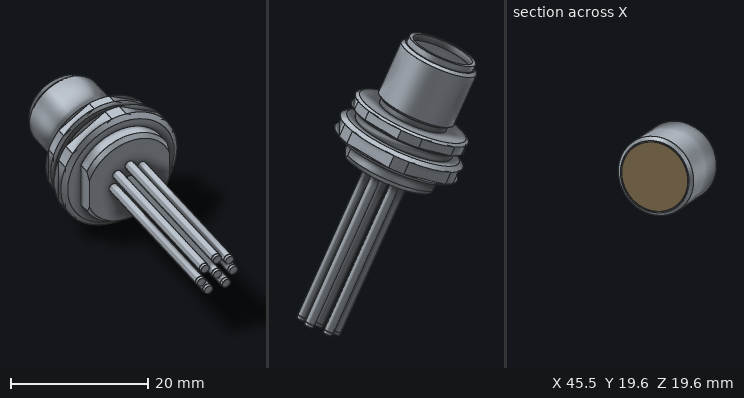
import cadquery as cq
import math

x_collar = 1.0
x_sleeve_end = 10.05
x_front_nut = 11.0
x_ring = 13.08
x_rear_nut = 14.5
x_rear_boss = 17.6
x_body_end = 20.05
x_wire_end = 45.55

core_radius = 5.3
sleeve_radius = 6.0
sleeve_chamfer_length = 0.4
sleeve_chamfer_depth = 0.55
bore_radius = 4.7
bore_depth = x_collar

front_nut_flats = 17.05
front_nut_radius = 9.0
front_nut_face_radius = 8.47
front_nut_rim_length = 0.3
rear_nut_flats = 18.05
rear_nut_radius = 9.8
rear_nut_face_radius = 8.98
rear_nut_rim_length = 0.55

ring_edge_radius = 7.6
ring_crown_radius = 7.8

boss_radius = 7.7
boss_flats = 13.5
boss_chamfer_length = 0.75
boss_chamfer_depth = 0.55

wire_radius = 0.75
wire_tip_radius = 0.7
wire_tip_length = 0.5
wire_circle_radius = 2.75
wire_ring_count = 7
wire_pitch_angle = 49.0


def cylinder(x_start, x_end, radius, y=0.0, z=0.0):
    """Round bar along X between two stations."""
    return cq.Workplane("YZ", origin=(x_start, y, z)).circle(radius).extrude(x_end - x_start)


def chamfered_disc(x_start, x_end, radius, face_radius, chamfer_length):
    """Disc along X whose chamfered ends shrink to face_radius."""
    return (
        cq.Workplane("XY")
        .moveTo(x_start, 0)
        .lineTo(x_start, face_radius)
        .lineTo(x_start + chamfer_length, radius)
        .lineTo(x_end - chamfer_length, radius)
        .lineTo(x_end, face_radius)
        .lineTo(x_end, 0)
        .close()
        .revolve(360, (0, 0, 0), (1, 0, 0))
    )


def conical_rim(x_face, x_rim, face_radius, radius):
    """Cone along X that widens from an end face to a sharp round rim."""
    return (
        cq.Workplane("XY")
        .moveTo(x_face, 0)
        .lineTo(x_face, face_radius)
        .lineTo(x_rim, radius)
        .lineTo(x_rim, 0)
        .close()
        .revolve(360, (0, 0, 0), (1, 0, 0))
    )


def hex_nut(x_start, x_end, across_flats, radius, face_radius, rim_length):
    """Hexagon with corners on +-Z, turned down to a radius, between two conical rims."""
    x_front_rim = x_start + rim_length
    x_back_rim = x_end - rim_length
    across_corners = across_flats / math.cos(math.radians(30))
    hexagon = (
        cq.Workplane("YZ", origin=(x_front_rim, 0, 0))
        .transformed(rotate=(0, 0, 90))
        .polygon(6, across_corners)
        .extrude(x_back_rim - x_front_rim)
    )
    waist = hexagon.intersect(cylinder(x_front_rim, x_back_rim, radius))
    front_rim = conical_rim(x_start, x_front_rim, face_radius, radius)
    back_rim = conical_rim(x_end, x_back_rim, face_radius, radius)
    return waist.union(front_rim).union(back_rim)


def sealing_ring():
    """Ring with a gently crowned rim, squeezed between the two nuts."""
    return (
        cq.Workplane("XY")
        .moveTo(x_ring, 0)
        .lineTo(x_ring, ring_edge_radius)
        .threePointArc(((x_ring + x_rear_nut) / 2, ring_crown_radius), (x_rear_nut, ring_edge_radius))
        .lineTo(x_rear_nut, 0)
        .close()
        .revolve(360, (0, 0, 0), (1, 0, 0))
    )


def rear_boss():
    """Round boss with a chamfered back edge and a flat on each +-Y side."""
    boss = cylinder(x_rear_boss, x_body_end, boss_radius)
    boss = boss.faces(">X").chamfer(boss_chamfer_length, boss_chamfer_depth)
    flats = cq.Workplane("XY").box(2 * x_body_end, boss_flats, 2 * boss_radius)
    return boss.intersect(flats)


def wire(y, z):
    """Insulated wire with a short, slightly thinner tip."""
    x_tip = x_wire_end - wire_tip_length
    insulation = cylinder(x_body_end, x_tip, wire_radius, y, z)
    return insulation.union(cylinder(x_tip, x_wire_end, wire_tip_radius, y, z))


core = cylinder(0, x_rear_nut, core_radius)
sleeve = chamfered_disc(
    x_collar,
    x_sleeve_end,
    sleeve_radius,
    sleeve_radius - sleeve_chamfer_depth,
    sleeve_chamfer_length,
)
front_nut = hex_nut(
    x_front_nut,
    x_ring,
    front_nut_flats,
    front_nut_radius,
    front_nut_face_radius,
    front_nut_rim_length,
)
rear_nut = hex_nut(
    x_rear_nut,
    x_rear_boss,
    rear_nut_flats,
    rear_nut_radius,
    rear_nut_face_radius,
    rear_nut_rim_length,
)

body = core.union(sleeve).union(front_nut).union(sealing_ring()).union(rear_nut).union(rear_boss())
body = body.cut(cylinder(0, bore_depth, bore_radius))

body = body.union(wire(0, 0))
for index in range(wire_ring_count):
    angle = math.radians((index - wire_ring_count // 2) * wire_pitch_angle)
    body = body.union(wire(wire_circle_radius * math.sin(angle), wire_circle_radius * math.cos(angle)))

result = body